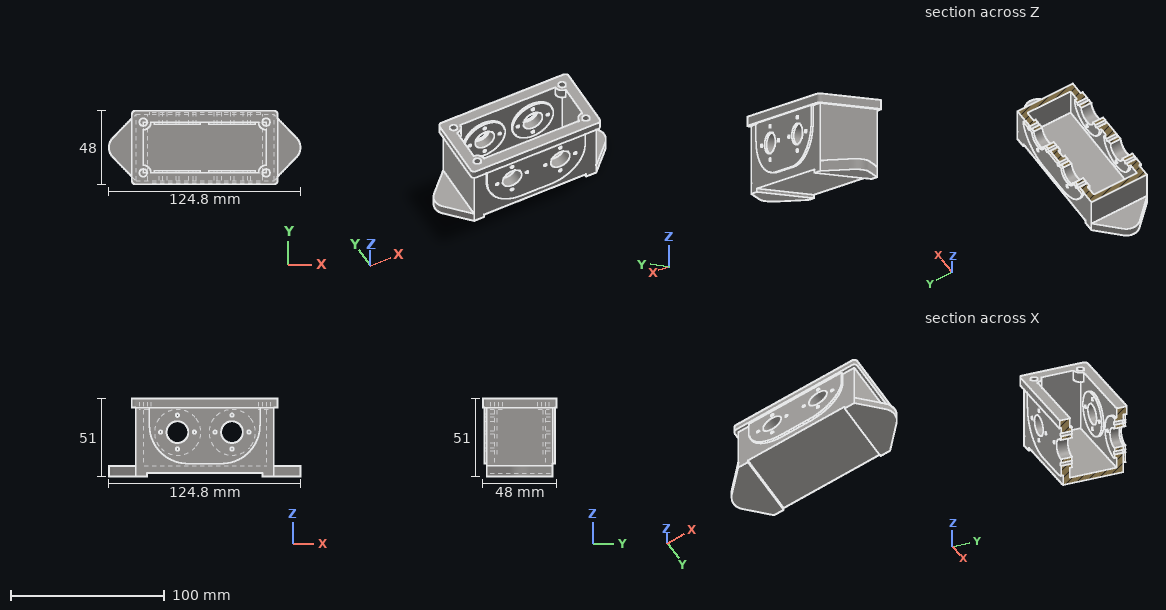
import cadquery as cq
import math

total_height = 51.0
box_length = 90.0
box_width = 43.0
wall = 5.0
floor_top = 7.0
cavity_length = box_length - 2 * wall
cavity_width = box_width - 2 * wall
half_box_width = box_width / 2
half_cavity_width = cavity_width / 2

flange_overhang = 2.5
flange_height = 6.0
flange_bottom = total_height - flange_height
flange_length = box_length + 2 * flange_overhang
flange_width = box_width + 2 * flange_overhang
screw_hole_diameter = 5.0
screw_boss_radius = 5.0
screw_boss_height = 7.0
screw_points = [
    (side_x * cavity_length / 2, side_y * cavity_width / 2)
    for side_x in (-1, 1)
    for side_y in (-1, 1)
]

ear_height = 7.0
ear_tip_x = 62.395
ear_tip_radius = 9.0

channel_length = 75.0
channel_depth = 2.25

port_spacing = 35.5
port_height = 29.0
port_diameter = 14.0
port_points = [(side * port_spacing / 2, port_height) for side in (-1, 1)]
port_screw_diameter = 2.0
port_screw_offset = 11.0

pad_thickness = 1.5
pad_length = 72.0
pad_bottom = 8.5
pad_corner_radius = 25.0
inner_disc_diameter = 30.0


def block(length, width, bottom, top):
    """Box centred on X and Y between two heights."""
    return cq.Workplane("XY", origin=(0, 0, bottom)).rect(length, width).extrude(top - bottom)


def upright_plane(y):
    """Sketch plane with local axes X and Z; a negative extrusion from it runs toward +Y."""
    return cq.Workplane("XZ", origin=(0, y, 0))


def mounting_ears():
    """Plate whose straight sides run from the box corners tangent to two rounded tips."""
    corner_x = box_length / 2
    corner_y = half_box_width
    tip_centre_x = ear_tip_x - ear_tip_radius
    run = tip_centre_x - corner_x
    corner_distance = math.hypot(run, corner_y)
    tangent_angle = math.atan2(corner_y, -run) - math.acos(ear_tip_radius / corner_distance)
    tangent_x = tip_centre_x + ear_tip_radius * math.cos(tangent_angle)
    tangent_y = ear_tip_radius * math.sin(tangent_angle)
    return (
        cq.Workplane("XY")
        .moveTo(-corner_x, corner_y)
        .lineTo(corner_x, corner_y)
        .lineTo(tangent_x, tangent_y)
        .threePointArc((ear_tip_x, 0), (tangent_x, -tangent_y))
        .lineTo(corner_x, -corner_y)
        .lineTo(-corner_x, -corner_y)
        .lineTo(-tangent_x, -tangent_y)
        .threePointArc((-ear_tip_x, 0), (-tangent_x, tangent_y))
        .close()
        .extrude(ear_height)
    )


def top_flange():
    flange = block(flange_length, flange_width, flange_bottom, total_height)
    return flange.edges("|Z").fillet(flange_overhang)


def screw_cylinders(radius):
    """Cylinders at the four screw points, reaching from the boss underside to the top face."""
    boss_bottom = total_height - screw_boss_height
    plane = cq.Workplane("XY", origin=(0, 0, boss_bottom))
    return plane.pushPoints(screw_points).circle(radius).extrude(screw_boss_height)


def screw_bosses():
    """Boss cylinders trimmed to the box, so that only their inner quarters stand in the cavity."""
    return screw_cylinders(screw_boss_radius).intersect(block(box_length, box_width, 0, total_height))


def outer_pad(y_start):
    """Pad with large rounded lower corners, hanging below the flange."""
    half_length = pad_length / 2
    arc_top = pad_bottom + pad_corner_radius
    arc_end_x = half_length - pad_corner_radius
    return (
        upright_plane(y_start)
        .moveTo(-half_length, flange_bottom)
        .lineTo(-half_length, arc_top)
        .radiusArc((-arc_end_x, pad_bottom), -pad_corner_radius)
        .lineTo(arc_end_x, pad_bottom)
        .radiusArc((half_length, arc_top), -pad_corner_radius)
        .lineTo(half_length, flange_bottom)
        .close()
        .extrude(-pad_thickness)
    )


def inner_discs(y_start):
    """Pair of discs concentric with the ports."""
    discs = upright_plane(y_start).pushPoints(port_points).circle(inner_disc_diameter / 2)
    return discs.extrude(-pad_thickness)


def port_holes():
    """Ports and their rings of four screw holes, through the full width."""
    front = upright_plane(-flange_width / 2)
    holes = front.pushPoints(port_points).circle(port_diameter / 2).extrude(-flange_width)
    for x, z in port_points:
        screw_ring = front.center(x, z).polarArray(port_screw_offset, 0, 360, 4)
        holes = holes.union(screw_ring.circle(port_screw_diameter / 2).extrude(-flange_width))
    return holes


def build_housing():
    """Box with flange, ears, front pad and the inner discs of both long walls."""
    body = block(box_length, box_width, 0, flange_bottom)
    body = body.union(mounting_ears()).union(top_flange())
    body = body.cut(block(cavity_length, cavity_width, floor_top, total_height))
    body = body.union(screw_bosses())
    body = body.union(outer_pad(-half_box_width - pad_thickness))
    body = body.union(inner_discs(-half_cavity_width))
    body = body.union(inner_discs(half_cavity_width - pad_thickness))
    body = body.cut(screw_cylinders(screw_hole_diameter / 2))
    body = body.cut(block(channel_length, box_width, 0, channel_depth))
    return body.cut(port_holes())


def build_rear_pad():
    """Separate pad lying on the rear wall, drilled in line with the housing."""
    return outer_pad(half_box_width).cut(port_holes())


housing = build_housing()
rear_pad = build_rear_pad()

result = cq.Compound.makeCompound([housing.val(), rear_pad.val()])